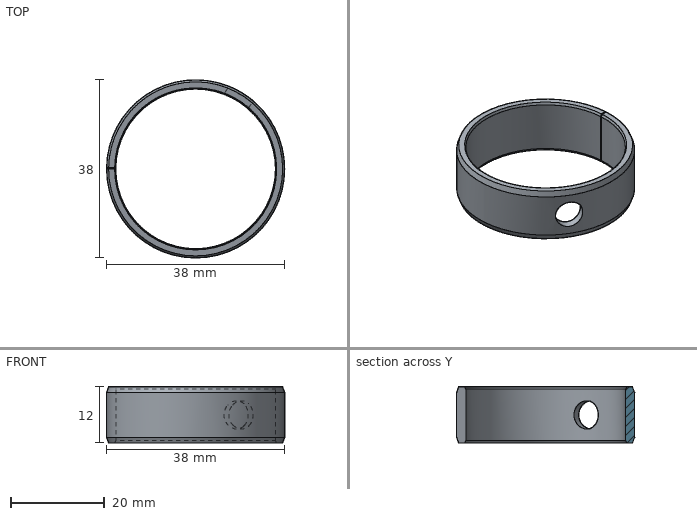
import cadquery as cq

outer_diameter = 38.0
inner_diameter = 34.0
height = 12.0

outer_bevel_height = 1.2
outer_bevel_depth = 0.45
inner_bevel_height = 0.55
inner_bevel_depth = 0.25

slit_width = 0.23

hole_diameter = 6.0
hole_angle = 59.0

outer_radius = outer_diameter / 2
inner_radius = inner_diameter / 2
half_height = height / 2


def ring_body():
    """Revolve the wall section, bevelled at all four corners."""
    rim_outer_radius = outer_radius - outer_bevel_depth
    rim_inner_radius = inner_radius + inner_bevel_depth
    outer_wall_top = half_height - outer_bevel_height
    inner_wall_top = half_height - inner_bevel_height
    section = [
        (rim_inner_radius, half_height),
        (rim_outer_radius, half_height),
        (outer_radius, outer_wall_top),
        (outer_radius, -outer_wall_top),
        (rim_outer_radius, -half_height),
        (rim_inner_radius, -half_height),
        (inner_radius, -inner_wall_top),
        (inner_radius, inner_wall_top),
    ]
    return cq.Workplane("XZ").polyline(section).close().revolve(360, (0, 0), (0, 1))


def slit_cutter():
    """Slab from the ring axis outward through the -X wall."""
    slab = cq.Workplane("XY").box(outer_radius, slit_width, height)
    return slab.translate((-outer_radius / 2, slit_width / 2, 0))


def hole_cutter():
    """Radial cylinder at mid height, crossing one side of the wall only."""
    cylinder = cq.Workplane("YZ").circle(hole_diameter / 2).extrude(outer_diameter)
    return cylinder.rotate((0, 0, 0), (0, 0, 1), hole_angle)


result = ring_body().cut(slit_cutter()).cut(hole_cutter())